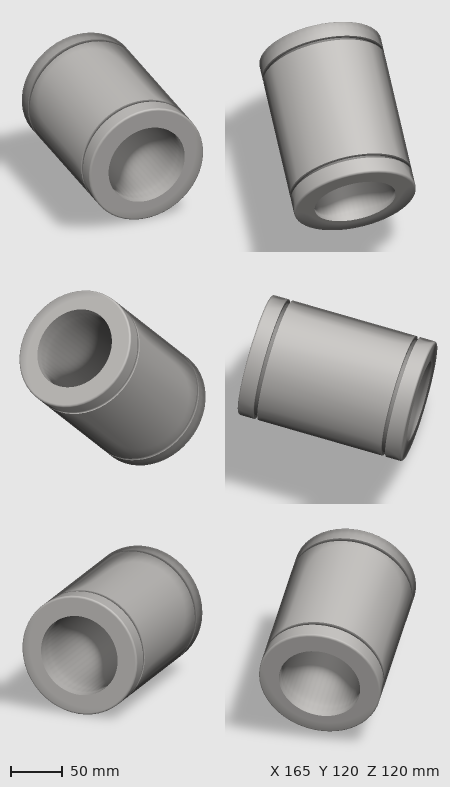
import cadquery as cq

length = 165.0
outer_diameter = 120.0
bore_diameter = 80.0
edge_radius = 2.0

groove_offset = 16.0
groove_width = 4.1
groove_depth = 4.0


def cylinder(start, span, diameter):
    """Solid cylinder along X, beginning at x = start."""
    return cq.Workplane("YZ").workplane(offset=start).circle(diameter / 2).extrude(span)


def groove_ring(start):
    """Ring of material removed from the outer surface to form a groove."""
    floor_diameter = outer_diameter - 2 * groove_depth
    blank = cylinder(start, groove_width, outer_diameter + 2 * groove_depth)
    return blank.cut(cylinder(start, groove_width, floor_diameter))


half_length = length / 2
body = cylinder(-half_length, length, outer_diameter)
body = body.faces("<X or >X").edges().fillet(edge_radius)

body = body.cut(cylinder(-half_length, length, bore_diameter))

left_groove_start = -half_length + groove_offset
right_groove_start = half_length - groove_offset - groove_width
for groove_start in (left_groove_start, right_groove_start):
    body = body.cut(groove_ring(groove_start))

result = body